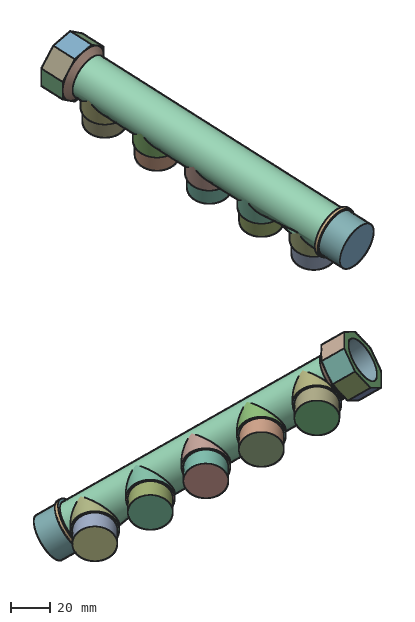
import cadquery as cq

TOTAL_LENGTH = 198.0
TOTAL_HEIGHT = 42.0
PIPE_RADIUS = 12.5

NUT_WIDTH = 32.0
NUT_LENGTH = 14.5
NUT_SIDES = 8
BORE_RADIUS = 12.3
BORE_DEPTH = NUT_LENGTH

SPIGOT_RADIUS = 13.3
SPIGOT_LENGTH = 14.0
COLLAR_RADIUS = 14.3
COLLAR_WIDTH = 2.0

BRANCH_COUNT = 5
FIRST_BRANCH_X = 29.0
BRANCH_PITCH = 35.0
BRANCH_RADIUS = PIPE_RADIUS
BRANCH_STEP_DEPTH = 14.8
OUTLET_RADIUS = 11.5
OUTLET_DEPTH = TOTAL_HEIGHT - NUT_WIDTH / 2


def make_run():
    """Pipe with a 45-degree cone behind the nut, a collar and a spigot."""
    cone_radius = NUT_WIDTH / 2
    cone_end = NUT_LENGTH + cone_radius - PIPE_RADIUS
    collar_end = TOTAL_LENGTH - SPIGOT_LENGTH
    collar_start = collar_end - COLLAR_WIDTH
    half_profile = [
        (NUT_LENGTH, 0),
        (NUT_LENGTH, cone_radius),
        (cone_end, PIPE_RADIUS),
        (collar_start, PIPE_RADIUS),
        (collar_start, COLLAR_RADIUS),
        (collar_end, COLLAR_RADIUS),
        (collar_end, SPIGOT_RADIUS),
        (TOTAL_LENGTH, SPIGOT_RADIUS),
        (TOTAL_LENGTH, 0),
    ]
    return cq.Workplane("XZ").polyline(half_profile).close().revolve(360, (0, 0), (1, 0))


def make_nut():
    """Octagonal prism with flats facing Y and Z."""
    return cq.Workplane("YZ").polygon(NUT_SIDES, NUT_WIDTH, circumscribed=True).extrude(NUT_LENGTH)


def make_branch(x):
    """Stepped round outlet from the pipe axis downwards."""
    axis_plane = cq.Workplane(cq.Plane(origin=(x, 0, 0), xDir=(-1, 0, 0), normal=(0, 0, -1)))
    shoulder = axis_plane.circle(BRANCH_RADIUS).extrude(BRANCH_STEP_DEPTH)
    outlet = axis_plane.circle(OUTLET_RADIUS).extrude(OUTLET_DEPTH)
    return shoulder.union(outlet)


result = make_run().union(make_nut())
for index in range(BRANCH_COUNT):
    result = result.union(make_branch(FIRST_BRANCH_X + index * BRANCH_PITCH))

socket_bore = cq.Workplane("YZ").circle(BORE_RADIUS).extrude(BORE_DEPTH)
result = result.cut(socket_bore)